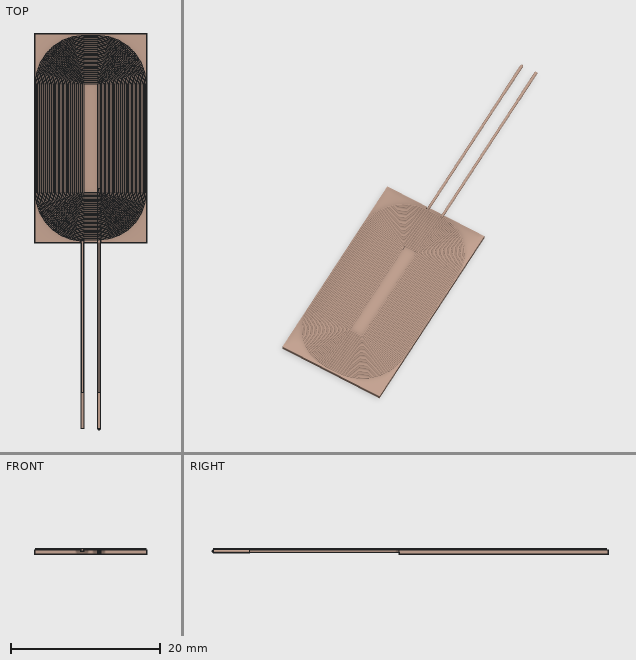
import cadquery as cq
import math

PLATE_WIDTH = 15.0
PLATE_LENGTH = 28.0
PLATE_THICKNESS = 0.6

TURNS = 36
PITCH = 0.18
WIRE_DIAMETER = 0.175
WINDOW_HALF_WIDTH = 0.9
WINDOW_HALF_LENGTH = 7.25
INNER_RADIUS = 0.1

OVERALL_LENGTH = 53.0
LEAD_X = 1.1
LEAD_DIAMETER = 0.35
OUTER_LEAD_Z = 0.6
INNER_LEAD_Z = 0.39
INNER_LEAD_START_Y = -6.75
TIN_DIAMETER = 0.4
TIN_LENGTH = 4.8
TIN_TIP = 0.15

SLOT_WIDTH = 0.5
SLOT_FLOOR = 0.15
NOTCH_FLOOR = 0.35
NOTCH_LENGTH = 0.5

wire_radius = WIRE_DIAMETER / 2
coil_start_x = WINDOW_HALF_WIDTH + INNER_RADIUS
coil_start_y = INNER_LEAD_START_Y - WIRE_DIAMETER
coil_end_y = -WINDOW_HALF_LENGTH - INNER_RADIUS - (TURNS - 1) * PITCH
wire_z = PLATE_THICKNESS + wire_radius
plate_edge_y = -PLATE_LENGTH / 2
tip_y = PLATE_LENGTH / 2 - OVERALL_LENGTH
lead_end_y = tip_y + TIN_TIP
tin_start_y = lead_end_y + TIN_LENGTH


def rod(diameter, x, z, start_y, end_y):
    """Round rod running in -Y from start_y to end_y."""
    section = cq.Workplane("XZ", origin=(x, start_y, z)).circle(diameter / 2)
    return section.extrude(start_y - end_y)


def trench(x, start_y, floor_z):
    """Cutter from start_y out through the -Y edge of the plate, open at the top."""
    size = (SLOT_WIDTH, start_y - plate_edge_y, PLATE_THICKNESS - floor_z)
    corner = (x - SLOT_WIDTH / 2, plate_edge_y, floor_z)
    return cq.Workplane("XY").box(*size, centered=False).translate(corner)


def make_plate():
    plate = cq.Workplane("XY").rect(PLATE_WIDTH, PLATE_LENGTH).extrude(PLATE_THICKNESS)
    inner_slot = trench(LEAD_X, INNER_LEAD_START_Y, SLOT_FLOOR)
    outer_notch = trench(-LEAD_X, plate_edge_y + NOTCH_LENGTH, NOTCH_FLOOR)
    return plate.cut(inner_slot).cut(outer_notch)


def add_quarter_turn(path, center, outward, along, radius):
    """Run straight up to a quarter turn about center, then round it from outward to along."""
    arc_start = center + outward * radius
    arc_middle = center + (outward + along) * (radius * math.sqrt(0.5))
    arc_end = center + along * radius
    path = path.lineTo(arc_start.x, arc_start.y)
    return path.threePointArc(arc_middle.toTuple()[:2], arc_end.toTuple()[:2])


def spiral_path():
    """Counter-clockwise centreline from the inner end to the outer lead.

    The four corners of a turn share one radius. The last corner's centre lies one pitch
    further right, which leads smoothly onto the next turn, one pitch larger.
    """
    right = cq.Vector(1, 0)
    back = cq.Vector(0, 1)
    corner_right = right * WINDOW_HALF_WIDTH
    corner_back = back * WINDOW_HALF_LENGTH
    step = right * PITCH

    path = cq.Workplane("XY", origin=(0, 0, wire_z)).moveTo(coil_start_x, coil_start_y)
    for turn in range(TURNS):
        radius = INNER_RADIUS + turn * PITCH
        path = add_quarter_turn(path, corner_right + corner_back, right, back, radius)
        path = add_quarter_turn(path, corner_back - corner_right, back, -right, radius)
        path = add_quarter_turn(path, -corner_right - corner_back, -right, -back, radius)
        if turn < TURNS - 1:
            path = add_quarter_turn(path, corner_right - corner_back + step, -back, right, radius)
    return path


def make_coil():
    """Winding with both leads; a short riser lifts the inner lead out of its slot."""
    section = cq.Workplane("XZ", origin=(coil_start_x, coil_start_y, wire_z)).circle(wire_radius)
    winding = section.sweep(spiral_path())
    inner_lead = rod(LEAD_DIAMETER, LEAD_X, INNER_LEAD_Z, INNER_LEAD_START_Y, tin_start_y)
    riser_y = coil_start_y - wire_radius / 2
    riser = (
        cq.Workplane("XY", origin=(coil_start_x, riser_y, INNER_LEAD_Z))
        .circle(wire_radius)
        .extrude(wire_z + wire_radius - INNER_LEAD_Z)
    )
    outer_lead = rod(LEAD_DIAMETER, -LEAD_X, OUTER_LEAD_Z, coil_end_y, tin_start_y)
    return winding.union(riser).union(inner_lead).union(outer_lead)


def make_outer_tin():
    return rod(TIN_DIAMETER, -LEAD_X, OUTER_LEAD_Z, tin_start_y, lead_end_y)


def make_inner_tin():
    tin = rod(TIN_DIAMETER, LEAD_X, INNER_LEAD_Z, tin_start_y, tip_y)
    return tin.faces("<Y").chamfer(TIN_TIP)


plate = make_plate()
coil = make_coil()
outer_tin = make_outer_tin()
inner_tin = make_inner_tin()

result = cq.Compound.makeCompound([
    *plate.solids().vals(),
    *coil.solids().vals(),
    outer_tin.val(),
    *inner_tin.solids().vals(),
])